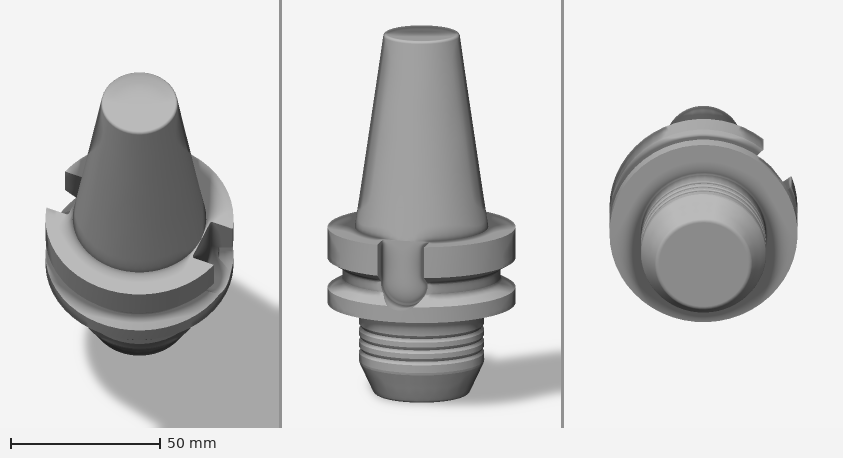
import cadquery as cq
import math

GAUGE_DIAMETER = 44.45
TAPER_LENGTH = 65.4
TAPER_RATIO = 7 / 24
TAPER_END_FILLET = 1.0

FLANGE_DIAMETER = 63.0
FLANGE_TOP = -1.0
FLANGE_BOTTOM = -27.0
V_GROOVE_CENTER = -16.6
V_GROOVE_WIDTH = 10.0
V_GROOVE_FLOOR_DIAMETER = 53.0
V_GROOVE_FLANK_ANGLE = 30.0
V_GROOVE_FILLET = 0.8

NOSE_DIAMETER = 42.0
NOSE_BOTTOM = -58.0
NOSE_CONE_TOP = -47.0
NOSE_CONE_ANGLE = 25.0
CONE_TOP_FILLET = 2.0
NOSE_END_FILLET = 1.5
NOSE_ROOT_FILLET = 0.6
RING_GROOVE_COUNT = 3
RING_GROOVE_PITCH = 3.9
RING_GROOVE_TOP_CENTER = -35.0
RING_GROOVE_WIDTH = 2.2
RING_GROOVE_DEPTH = 0.75

SLOT_WIDTH = 16.1
SLOT_FLOOR_OFFSET = 22.5
SLOT_END_CENTER = -14.9
SLOT_FLOOR_FILLET = 0.8


def tan_deg(angle):
    return math.tan(math.radians(angle))


def at_height(z):
    """Selector for edges whose centre lies at the height z."""
    reach = FLANGE_DIAMETER
    tolerance = 0.01
    return cq.selectors.BoxSelector((-reach, -reach, z - tolerance), (reach, reach, z + tolerance))


def make_taper():
    gauge_radius = GAUGE_DIAMETER / 2
    root_radius = gauge_radius - FLANGE_TOP * TAPER_RATIO / 2
    end_radius = gauge_radius - TAPER_LENGTH * TAPER_RATIO / 2
    profile = [
        (0, FLANGE_TOP),
        (root_radius, FLANGE_TOP),
        (end_radius, TAPER_LENGTH),
        (0, TAPER_LENGTH),
    ]
    taper = cq.Workplane("XZ").polyline(profile).close().revolve(360, (0, 0), (0, 1))
    return taper.faces(">Z").edges().fillet(TAPER_END_FILLET)


def make_flange():
    outer_radius = FLANGE_DIAMETER / 2
    floor_radius = V_GROOVE_FLOOR_DIAMETER / 2
    flank_height = (outer_radius - floor_radius) * tan_deg(V_GROOVE_FLANK_ANGLE)
    groove_top = V_GROOVE_CENTER + V_GROOVE_WIDTH / 2
    groove_bottom = V_GROOVE_CENTER - V_GROOVE_WIDTH / 2
    floor_top = groove_top - flank_height
    floor_bottom = groove_bottom + flank_height
    profile = [
        (0, FLANGE_BOTTOM),
        (outer_radius, FLANGE_BOTTOM),
        (outer_radius, groove_bottom),
        (floor_radius, floor_bottom),
        (floor_radius, floor_top),
        (outer_radius, groove_top),
        (outer_radius, FLANGE_TOP),
        (0, FLANGE_TOP),
    ]
    flange = cq.Workplane("XZ").polyline(profile).close().revolve(360, (0, 0), (0, 1))
    floor_edges = flange.edges(cq.selectors.RadiusNthSelector(0))
    return floor_edges.fillet(V_GROOVE_FILLET)


def make_drive_slot(side):
    """Round-ended slot cutter on the +X (side = 1) or -X (side = -1) side."""
    depth = FLANGE_DIAMETER / 2
    half_width = SLOT_WIDTH / 2
    cutter = (
        cq.Workplane("YZ", origin=(SLOT_FLOOR_OFFSET, 0, 0))
        .moveTo(-half_width, 0)
        .lineTo(-half_width, SLOT_END_CENTER)
        .threePointArc((0, SLOT_END_CENTER - half_width), (half_width, SLOT_END_CENTER))
        .lineTo(half_width, 0)
        .close()
        .extrude(depth)
    )
    floor_edges = cutter.faces("<X").edges("not >Z")
    cutter = floor_edges.fillet(SLOT_FLOOR_FILLET)
    if side < 0:
        cutter = cutter.rotate((0, 0, 0), (0, 0, 1), 180)
    return cutter


def make_nose():
    radius = NOSE_DIAMETER / 2
    bottom_radius = radius - (NOSE_CONE_TOP - NOSE_BOTTOM) * tan_deg(NOSE_CONE_ANGLE)
    half_width = RING_GROOVE_WIDTH / 2
    profile = cq.Workplane("XZ").moveTo(0, FLANGE_BOTTOM).lineTo(radius, FLANGE_BOTTOM)
    for index in range(RING_GROOVE_COUNT):
        center = RING_GROOVE_TOP_CENTER - index * RING_GROOVE_PITCH
        profile = (
            profile.lineTo(radius, center + half_width)
            .lineTo(radius - RING_GROOVE_DEPTH, center)
            .lineTo(radius, center - half_width)
        )
    profile = (
        profile.lineTo(radius, NOSE_CONE_TOP)
        .lineTo(bottom_radius, NOSE_BOTTOM)
        .lineTo(0, NOSE_BOTTOM)
        .close()
    )
    nose = profile.revolve(360, (0, 0), (0, 1))
    nose = nose.edges(at_height(NOSE_CONE_TOP)).fillet(CONE_TOP_FILLET)
    return nose.edges(at_height(NOSE_BOTTOM)).fillet(NOSE_END_FILLET)


def fillet_nose_root(body):
    inner_edge = cq.selectors.RadiusNthSelector(0)
    root_edge = body.edges(at_height(FLANGE_BOTTOM)).edges(inner_edge)
    return root_edge.fillet(NOSE_ROOT_FILLET)


flange = make_flange()
for slot_side in (-1, 1):
    flange = flange.cut(make_drive_slot(slot_side))

body = make_taper().union(flange).union(make_nose())
result = fillet_nose_root(body)